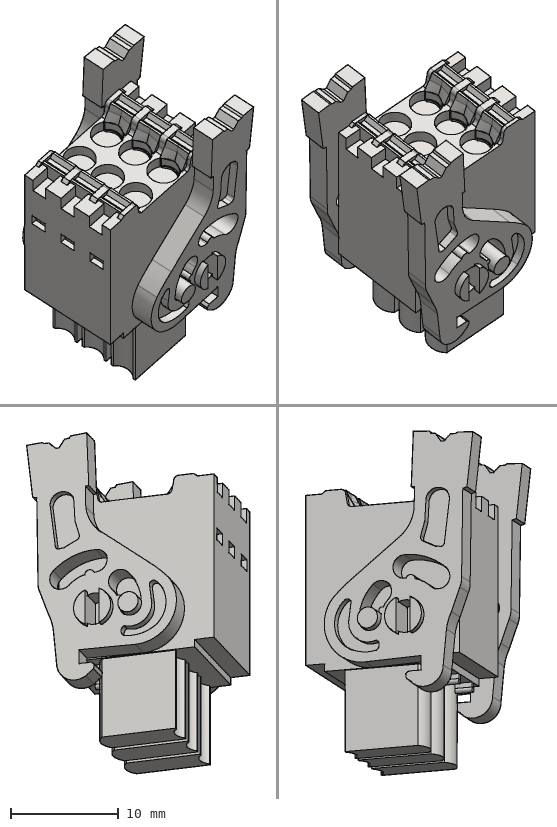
import cadquery as cq
import math

HOUSING_WIDTH = 10.42
HOUSING_DEPTH = 15.17
HOUSING_BOTTOM = 7.75
SHOULDER_BOTTOM = 8.5
SHOULDER_DEPTH = 1.87
DECK_Z = 23.28
WALL_TOP = 24.7
WALL_DEPTH = 2.08
ROW_CENTRE_Y = 7.73
POLES = 3
POLE_PITCH = 3.55

HOLE_PITCH = 3.43
HOLE_RADIUS = 1.55
HOLE_DEPTH = 1.23
HOLE_ROW_OFFSET = 2.0
HOLE_FLOOR = DECK_Z - HOLE_DEPTH
RIB_TOP = 25.0
INSERT_WIDTH = 2.65
INSERT_SHIFT = 0.05
INSERT_TIP_Y = 4.77
GROOVE_CENTRE_Y = 2.93
GROOVE_TOP_WIDTH = 1.23
GROOVE_FLOOR_WIDTH = 0.47
GROOVE_FLOOR = 24.6
INSERT_BORE_RADIUS = 1.45
TOE_BORE_RADIUS = 1.35
TOE_HEIGHT = 0.23

FUNNEL_OVERRUN = 0.3
FUNNEL_LEVELS = (
    (DECK_Z, 4.22, INSERT_TIP_Y),
    (24.27, 3.86, 4.13),
    (RIB_TOP, 3.75, 3.8),
)

NOTCH_WIDTH = 1.55
WINDOW_WIDTH = 1.58
WINDOW_BOTTOM = 18.5
WINDOW_TOP = 19.65
WINDOW_DEPTH = 0.55

COLUMN_WIDTH = 2.93
COLUMN_FRONT = 3.8
COLUMN_SIDE_BACK = 11.0
COLUMN_BULGE = 0.61
FLUTE_WIDTH = 2.4
FLUTE_DEPTH = 0.55

RAIL_RADIUS = 0.25
RAIL_BOTTOM = 6.82
RAIL_WEB = 0.35

SPAN_OVER_PINS = 17.0
PIN_END_X = SPAN_OVER_PINS / 2
PIN_Z = 11.7
PIVOT_Y = 10.8
NECK_RADIUS = 1.55
HEAD_RADIUS = 1.82
SPLIT_WIDTH = 1.35
GUIDE_Y = 7.3
GUIDE_RADIUS = 1.0

LEVER_INNER_X = 5.5
LEVER_THICKNESS = 2.3
LEVER_OUTER_X = LEVER_INNER_X + LEVER_THICKNESS
POCKET_DEPTH = 0.85
CAM_CENTRE = (6.8, 11.68)
CAM_RADIUS = 4.0
LATCH_SLOT_RADIUS = 4.75
LATCH_SLOT_WIDTH = 2.23
LATCH_SLOT_ANGLES = (46.5, 91.5)
GUIDE_SLOT_RADIUS = PIVOT_Y - GUIDE_Y
GUIDE_SLOT_WIDTH = 2.17
GUIDE_SLOT_ANGLES = (134.5, 180.0)
DETENT_HEIGHT = 0.32
LATCH_DETENT_RADIUS = 0.47
LATCH_DETENT_ANGLE = 82.0
GUIDE_DETENT_RADIUS = 0.32
GUIDE_DETENT_ANGLE = 162.0


def block(x0, x1, y0, y1, z0, z1):
    """Box between two opposite corners."""
    return cq.Workplane("XY").box(x1 - x0, y1 - y0, z1 - z0, centered=False).translate((x0, y0, z0))


def pole_positions(pitch):
    """X of each pole, spread evenly about X = 0."""
    return [pitch * (i - (POLES - 1) / 2) for i in range(POLES)]


def profile_at(x):
    """Sketch plane at X = x, with sketch axes Y and Z."""
    return cq.Workplane("YZ", origin=(x, 0, 0))


def polar(radius, degrees):
    """Point (Y, Z) at an angle about the pivot axis."""
    angle = math.radians(degrees)
    return (PIVOT_Y + radius * math.cos(angle), PIN_Z + radius * math.sin(angle))


def rear_copy(front):
    """Half turn about the middle of the deck: front-row feature to rear row."""
    return front.rotate((0, ROW_CENTRE_Y, 0), (0, ROW_CENTRE_Y, 1), 180)


def insert_blank(x):
    """Insert with its trapezoid groove, before its inner face is hollowed."""
    outline = (
        profile_at(x - INSERT_WIDTH / 2)
        .moveTo(WALL_DEPTH, HOLE_FLOOR)
        .lineTo(WALL_DEPTH, RIB_TOP)
        .lineTo(GROOVE_CENTRE_Y - GROOVE_TOP_WIDTH / 2, RIB_TOP)
        .lineTo(GROOVE_CENTRE_Y - GROOVE_FLOOR_WIDTH / 2, GROOVE_FLOOR)
        .lineTo(GROOVE_CENTRE_Y + GROOVE_FLOOR_WIDTH / 2, GROOVE_FLOOR)
        .lineTo(GROOVE_CENTRE_Y + GROOVE_TOP_WIDTH / 2, RIB_TOP)
        .lineTo(INSERT_TIP_Y, RIB_TOP)
        .lineTo(INSERT_TIP_Y, HOLE_FLOOR)
        .close()
    )
    return outline.extrude(INSERT_WIDTH)


def funnel_section(x, level):
    """V-shaped wire of the funnel at one level, open towards the hole."""
    z, crease_y, side_y = level
    half = INSERT_WIDTH / 2
    back_y = INSERT_TIP_Y + FUNNEL_OVERRUN
    corners = [(x - half, side_y), (x, crease_y), (x + half, side_y), (x + half, back_y), (x - half, back_y)]
    return cq.Wire.makePolygon([cq.Vector(px, py, z) for px, py in corners], close=True)


def funnel(x):
    """Two-tier funnel with planar tiers either side of a centre crease."""
    lower, middle, upper = [funnel_section(x, level) for level in FUNNEL_LEVELS]
    lower_tier = cq.Solid.makeLoft([lower, middle], True)
    upper_tier = cq.Solid.makeLoft([middle, upper], True)
    return cq.Workplane(lower_tier).union(cq.Workplane(upper_tier))


def insert(hole_x):
    """Front-row insert beside the hole at hole_x."""
    x = hole_x - INSERT_SHIFT
    hole_centre = (hole_x, ROW_CENTRE_Y - HOLE_ROW_OFFSET, HOLE_FLOOR)
    foot = cq.Workplane("XY", origin=hole_centre)
    toe_bore = foot.circle(TOE_BORE_RADIUS).extrude(HOLE_DEPTH)
    bore = foot.workplane(offset=TOE_HEIGHT).circle(INSERT_BORE_RADIUS).extrude(HOLE_DEPTH - TOE_HEIGHT)
    return insert_blank(x).cut(funnel(x)).cut(toe_bore).cut(bore)


def housing_block():
    """Main block with shoulders below and outer walls standing above the deck."""
    half = HOUSING_WIDTH / 2
    body = block(-half, half, 0, HOUSING_DEPTH, SHOULDER_BOTTOM, WALL_TOP)
    foot = block(-half, half, SHOULDER_DEPTH, HOUSING_DEPTH - SHOULDER_DEPTH, HOUSING_BOTTOM, SHOULDER_BOTTOM)
    inner_back = 2 * ROW_CENTRE_Y - WALL_DEPTH
    well = block(-half, half, WALL_DEPTH, inner_back, DECK_Z, WALL_TOP)
    return body.union(foot).cut(well)


def front_rib_strip():
    """Full-width rib of the front row, before the insert pockets divide it."""
    outline = (
        profile_at(-HOUSING_WIDTH / 2)
        .moveTo(1.58, WALL_TOP)
        .lineTo(1.95, RIB_TOP)
        .lineTo(3.5, RIB_TOP)
        .threePointArc((3.85, 24.83), (3.95, 24.45))
        .lineTo(4.07, 23.8)
        .threePointArc((4.2, 23.45), (4.45, DECK_Z))
        .lineTo(1.58, DECK_Z)
        .close()
    )
    return outline.extrude(HOUSING_WIDTH)


def insert_pocket(x):
    """Clearance for one insert, reaching forward over the wall top between the rib tips."""
    left = x - INSERT_WIDTH / 2
    right = x + INSERT_WIDTH / 2
    pocket = block(left, right, WALL_DEPTH, INSERT_TIP_Y, HOLE_FLOOR, RIB_TOP)
    return pocket.union(block(left, right, 0, WALL_DEPTH, WALL_TOP, RIB_TOP))


def wall_notch(x):
    """Open slot through the wall in front of an insert."""
    return block(x - NOTCH_WIDTH / 2, x + NOTCH_WIDTH / 2, 0, WALL_DEPTH, DECK_Z, WALL_TOP)


def wire_hole(x):
    """Blind round hole in the front row of the deck."""
    centre = (x, ROW_CENTRE_Y - HOLE_ROW_OFFSET, HOLE_FLOOR)
    return cq.Workplane("XY", origin=centre).circle(HOLE_RADIUS).extrude(HOLE_DEPTH)


def window(x):
    """Shallow rectangular recess in the front face."""
    half = WINDOW_WIDTH / 2
    return block(x - half, x + half, 0, WINDOW_DEPTH, WINDOW_BOTTOM, WINDOW_TOP)


def column(x):
    """Plug column with a concave flute in front and a bulged back."""
    side = COLUMN_WIDTH / 2
    flute = FLUTE_WIDTH / 2
    outline = (
        cq.Workplane("XY", origin=(x, 0, 0))
        .moveTo(-side, COLUMN_FRONT)
        .lineTo(-flute, COLUMN_FRONT)
        .threePointArc((0, COLUMN_FRONT + FLUTE_DEPTH), (flute, COLUMN_FRONT))
        .lineTo(side, COLUMN_FRONT)
        .lineTo(side, COLUMN_SIDE_BACK)
        .threePointArc((0, COLUMN_SIDE_BACK + COLUMN_BULGE), (-side, COLUMN_SIDE_BACK))
        .close()
    )
    return outline.extrude(HOUSING_BOTTOM)


def guide_rail(x):
    """Round rail on a web, running from a column to the rear shoulder."""
    start_y = COLUMN_SIDE_BACK
    end_y = HOUSING_DEPTH - SHOULDER_DEPTH
    rail_z = RAIL_BOTTOM + RAIL_RADIUS
    rail = cq.Solid.makeCylinder(
        RAIL_RADIUS, end_y - start_y, cq.Vector(x, start_y, rail_z), cq.Vector(0, 1, 0)
    )
    web = block(x - RAIL_WEB / 2, x + RAIL_WEB / 2, start_y, end_y, rail_z, HOUSING_BOTTOM)
    return web.union(cq.Workplane(rail))


def side_pins():
    """Split pivot post and plain guide pin on the +X side."""
    side = HOUSING_WIDTH / 2
    neck = profile_at(side).center(PIVOT_Y, PIN_Z).circle(NECK_RADIUS).extrude(LEVER_OUTER_X - side)
    head = profile_at(LEVER_OUTER_X).center(PIVOT_Y, PIN_Z).circle(HEAD_RADIUS)
    post = neck.union(head.extrude(PIN_END_X - LEVER_OUTER_X))
    split = block(
        LEVER_INNER_X,
        PIN_END_X,
        PIVOT_Y - SPLIT_WIDTH / 2,
        PIVOT_Y + SPLIT_WIDTH / 2,
        PIN_Z - HEAD_RADIUS,
        PIN_Z + HEAD_RADIUS,
    )
    guide = profile_at(side).center(GUIDE_Y, PIN_Z).circle(GUIDE_RADIUS).extrude(PIN_END_X - side)
    return post.cut(split).union(guide)


def make_housing():
    """Complete housing with pockets, columns, rails and side pins."""
    body = housing_block()
    rib = front_rib_strip()
    body = body.union(rib).union(rear_copy(rib))
    for x in pole_positions(HOLE_PITCH):
        for cutter in (insert_pocket(x - INSERT_SHIFT), wall_notch(x), wire_hole(x)):
            body = body.cut(cutter).cut(rear_copy(cutter))
    for x in pole_positions(POLE_PITCH):
        body = body.cut(window(x))
    for x in pole_positions(POLE_PITCH):
        body = body.union(column(x)).union(guide_rail(x))
    pins = side_pins()
    return body.union(pins).union(pins.mirror("YZ"))


def lever_outline():
    """Lever plate: finger grip on top, cam lobe in front, locking hook at the bottom."""
    cam_y, cam_z = CAM_CENTRE
    outline = (
        profile_at(LEVER_INNER_X)
        .moveTo(17.45, 28.75)
        .lineTo(15.95, 28.85)
        .lineTo(15.72, 28.72)
        .lineTo(15.25, 28.72)
        .lineTo(14.58, 28.1)
        .lineTo(14.3, 28.1)
        .lineTo(13.73, 28.9)
        .lineTo(13.3, 28.95)
        .lineTo(13.15, 29.15)
        .lineTo(11.57, 29.28)
        .lineTo(11.35, 24.0)
        .lineTo(11.68, 23.98)
        .lineTo(11.65, 21.93)
        .threePointArc((11.33, 20.73), (10.37, 19.45))
        .lineTo(5.65, 15.8)
        .threePointArc((4.57, 14.93), (3.6, 14.0))
        .threePointArc((cam_y - CAM_RADIUS, cam_z), (cam_y, cam_z - CAM_RADIUS))
        .lineTo(12.33, 7.82)
        .lineTo(12.33, 6.45)
        .lineTo(11.1, 6.45)
        .lineTo(10.8, 6.2)
        .lineTo(10.9, 5.77)
        .lineTo(11.62, 5.15)
        .threePointArc((13.55, 5.1), (14.52, 6.73))
        .lineTo(14.85, 10.13)
        .threePointArc((15.02, 10.95), (15.35, 11.77))
        .lineTo(16.15, 14.03)
        .threePointArc((16.3, 14.5), (16.35, 15.02))
        .lineTo(16.45, 23.42)
        .lineTo(16.87, 23.55)
        .close()
    )
    return outline.extrude(LEVER_THICKNESS)


def arc_slot(centre_radius, width, angles):
    """Through slot with round ends, curved about the pivot."""
    start, end = angles
    middle = (start + end) / 2
    inner = centre_radius - width / 2
    outer = centre_radius + width / 2
    end_tip = math.degrees(width / 2 / centre_radius)
    outline = (
        profile_at(LEVER_INNER_X)
        .moveTo(*polar(inner, start))
        .threePointArc(polar(inner, middle), polar(inner, end))
        .threePointArc(polar(centre_radius, end + end_tip), polar(outer, end))
        .threePointArc(polar(outer, middle), polar(outer, start))
        .threePointArc(polar(centre_radius, start - end_tip), polar(inner, start))
        .close()
    )
    return outline.extrude(LEVER_THICKNESS)


def detent_slot(centre_radius, width, angles, bump_radius, bump_angle):
    """Curved slot with a round bump standing in from its inner wall."""
    bump_centre = polar(centre_radius - width / 2 + DETENT_HEIGHT - bump_radius, bump_angle)
    bump = profile_at(LEVER_INNER_X).center(*bump_centre).circle(bump_radius)
    return arc_slot(centre_radius, width, angles).cut(bump.extrude(LEVER_THICKNESS))


def grip_pocket():
    """Blind pocket in the outer face, rounded at its upper end."""
    outline = (
        profile_at(LEVER_OUTER_X - POCKET_DEPTH)
        .moveTo(15.15, 22.5)
        .threePointArc((14.03, 23.72), (12.82, 22.72))
        .lineTo(12.7, 20.65)
        .lineTo(12.3, 19.25)
        .threePointArc((12.3, 19.0), (12.45, 18.8))
        .lineTo(13.82, 18.12)
        .lineTo(14.32, 18.07)
        .threePointArc((14.52, 18.15), (14.65, 18.42))
        .close()
    )
    return outline.extrude(POCKET_DEPTH)


def cam_pocket():
    """Blind crescent pocket along the cam lobe."""
    outline = (
        profile_at(LEVER_OUTER_X - POCKET_DEPTH)
        .moveTo(4.83, 13.75)
        .threePointArc((3.86, 12.15), (4.68, 9.45))
        .threePointArc((5.85, 8.8), (7.9, 8.7))
        .threePointArc((8.2, 9.22), (7.9, 9.65))
        .threePointArc((5.68, 10.25), (5.25, 12.0))
        .lineTo(5.42, 13.4)
        .threePointArc((5.25, 13.75), (4.83, 13.75))
        .close()
    )
    return outline.extrude(POCKET_DEPTH)


def make_lever():
    """Lever on the +X side."""
    bore = profile_at(LEVER_INNER_X).center(PIVOT_Y, PIN_Z).circle(NECK_RADIUS)
    latch_slot = detent_slot(
        LATCH_SLOT_RADIUS, LATCH_SLOT_WIDTH, LATCH_SLOT_ANGLES, LATCH_DETENT_RADIUS, LATCH_DETENT_ANGLE
    )
    guide_slot = detent_slot(
        GUIDE_SLOT_RADIUS, GUIDE_SLOT_WIDTH, GUIDE_SLOT_ANGLES, GUIDE_DETENT_RADIUS, GUIDE_DETENT_ANGLE
    )
    lever = lever_outline().cut(bore.extrude(LEVER_THICKNESS))
    return lever.cut(guide_slot).cut(latch_slot).cut(grip_pocket()).cut(cam_pocket())


housing = make_housing()
right_lever = make_lever()
left_lever = right_lever.mirror("YZ")
inserts = []
for hole_x in pole_positions(HOLE_PITCH):
    front_insert = insert(hole_x)
    inserts.append(front_insert.val())
    inserts.append(rear_copy(front_insert).val())

result = cq.Compound.makeCompound([housing.val(), right_lever.val(), left_lever.val(), *inserts])